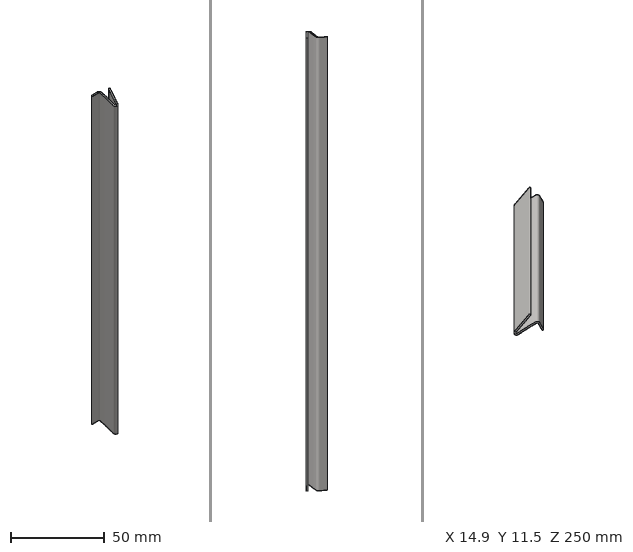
import cadquery as cq
import math

length = 250.0
thickness = 1.0

fold_inner_radius = 0.38
corner_inner_radius = 0.5
arm_slope = 18.0
web_tilt = 1.2
leg_tilt = 3.0
arm_length = 12.2
web_right_length = 7.8
web_left_length = 4.2
leg_length = 4.0


def direction(angle):
    return cq.Vector(math.cos(math.radians(angle)), math.sin(math.radians(angle)), 0)


def straight(start, heading, distance):
    """Return a flat piece of sheet and the middle point of its far end."""
    end = start + direction(heading) * distance
    side = direction(heading + 90) * (thickness / 2)
    corners = [start + side, end + side, end - side, start - side]
    piece = cq.Workplane("XY").polyline([p.toTuple()[:2] for p in corners]).close()
    return piece.extrude(length), end


def bend(start, heading, turn, inner_radius):
    """Return a round bend turning by the signed angle, and the middle point of its far end."""
    sign = math.copysign(1, turn)
    to_center = heading + sign * 90
    center = start + direction(to_center) * (inner_radius + thickness / 2)

    def rim(radius, fraction):
        return (center - direction(to_center + turn * fraction) * radius).toTuple()[:2]

    outer_radius = inner_radius + thickness
    piece = (
        cq.Workplane("XY")
        .moveTo(*rim(inner_radius, 0))
        .lineTo(*rim(outer_radius, 0))
        .threePointArc(rim(outer_radius, 0.5), rim(outer_radius, 1))
        .lineTo(*rim(inner_radius, 1))
        .threePointArc(rim(inner_radius, 0.5), rim(inner_radius, 0))
        .close()
        .extrude(length)
    )
    end = center - direction(to_center + turn) * (inner_radius + thickness / 2)
    return piece, end


def round_tip(center):
    """Return a post that rounds a free edge of the sheet over its full thickness."""
    return cq.Workplane("XY").center(center.x, center.y).circle(thickness / 2).extrude(length)


arm_heading = -arm_slope
web_right_heading = -180 - web_tilt
web_left_heading = -180 + web_tilt
leg_heading = -90 + leg_tilt

arm_start = cq.Vector(0, 0, 0)
arm, point = straight(arm_start, arm_heading, arm_length)
fold, point = bend(point, arm_heading, web_right_heading - arm_heading, fold_inner_radius)
web_right, point = straight(point, web_right_heading, web_right_length)
crease, point = bend(point, web_right_heading, web_left_heading - web_right_heading, corner_inner_radius)
web_left, point = straight(point, web_left_heading, web_left_length)
corner, point = bend(point, web_left_heading, leg_heading - web_left_heading, corner_inner_radius)
leg, leg_end = straight(point, leg_heading, leg_length)

strip = arm
for piece in (fold, web_right, crease, web_left, corner, leg, round_tip(arm_start), round_tip(leg_end)):
    strip = strip.union(piece)

middle = strip.val().BoundingBox().center
result = strip.translate(middle * -1)